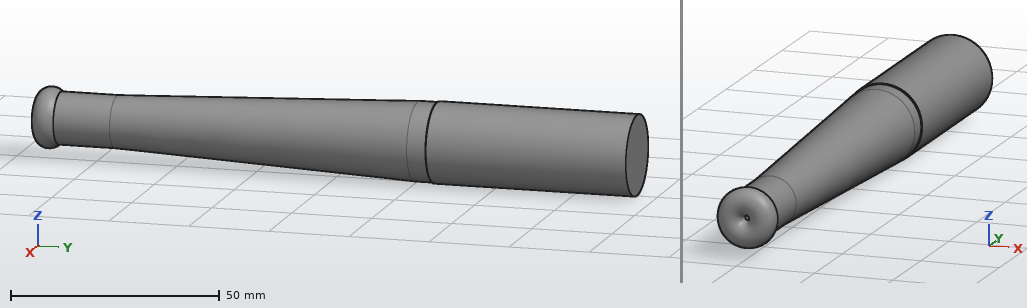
import cadquery as cq
import math

overall_length = 150.0
shank_length = 50.0
collar_length = 5.0
neck_end = 20.0
shank_start = overall_length - shank_length
collar_start = shank_start - collar_length

shank_radius = 20.0 / 2
collar_radius = 9.8
neck_radius = 6.5

head_radius = 7.5
round_radius = 3.5
round_center = head_radius - round_radius
dimple_radius = round_center - round_radius
head_length = round_radius + math.sqrt(round_radius**2 - (neck_radius - round_center) ** 2)


def revolve_about_y(profile):
    """Turn a closed half profile, with X as radius, about the Y axis."""
    return profile.close().revolve(360, (0, 0, 0), (0, 1, 0))


def make_cutting_head():
    """Toroidal head with a small flat-bottomed dimple in the tip."""
    profile = (
        cq.Workplane("XY")
        .moveTo(0, round_radius)
        .lineTo(dimple_radius, round_radius)
        .threePointArc((round_center, 0), (neck_radius, head_length))
        .lineTo(0, head_length)
    )
    return revolve_about_y(profile)


def make_holder():
    """Straight neck, conical body, short collar and chamfered cylindrical shank."""
    shoulder_chamfer = shank_radius - collar_radius
    profile = (
        cq.Workplane("XY")
        .moveTo(0, head_length)
        .lineTo(neck_radius, head_length)
        .lineTo(neck_radius, neck_end)
        .lineTo(collar_radius, collar_start)
        .lineTo(collar_radius, shank_start - shoulder_chamfer)
        .lineTo(shank_radius, shank_start)
        .lineTo(shank_radius, overall_length)
        .lineTo(0, overall_length)
    )
    return revolve_about_y(profile)


cutting_head = make_cutting_head()
holder = make_holder()

result = cq.Compound.makeCompound([cutting_head.val(), holder.val()])